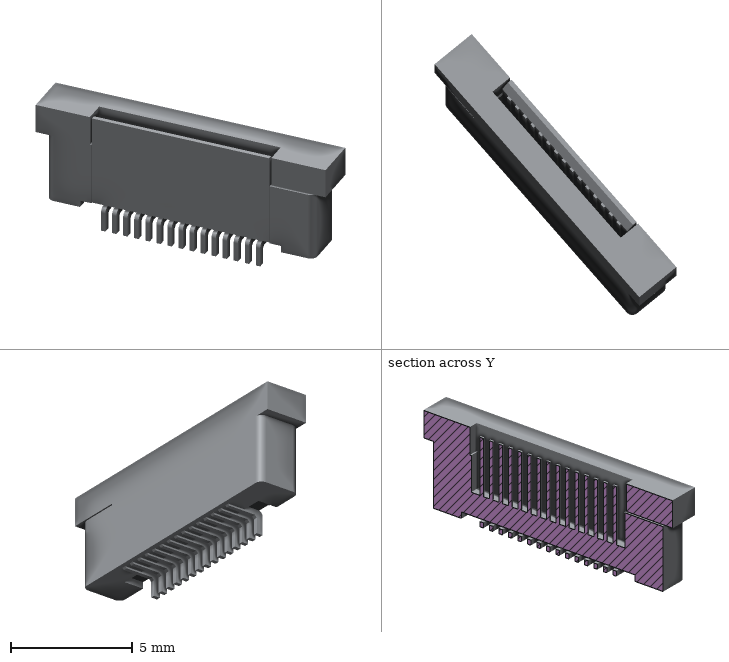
import cadquery as cq


head_length = 13.1
depth = 2.0
head_height = 1.3
head_overhang = 0.5
body_length = head_length - 2 * head_overhang
body_bottom = -4.4
body_corner_radius = 0.3

gap_height = 0.07

slot_length_head = 8.2
slot_length_body = 8.05
slot_depth = 0.94
slot_floor = -3.0

recess_end_margin = 1.5
recess_length = body_length - 2 * recess_end_margin
recess_height = 0.3
recess_ceiling = body_bottom + recess_height

cover_length = 8.0
cover_thickness = 0.5
cover_land = 0.2
cover_chamfer = cover_thickness - cover_land
cover_clearance = 0.04
cover_top = -cover_clearance
cover_bottom = recess_ceiling + cover_clearance

contact_count = 15
contact_span = 7.0
contact_pitch = contact_span / (contact_count - 1)
contact_width = 0.2
contact_top = -0.3
contact_projection = 0.09
lead_bottom = -5.3
lead_thickness = 0.3
lead_arm_back = 1.8
lead_arm_bottom = body_bottom - 0.08
lead_arm_top = body_bottom + 0.18
lead_outer_radius = 0.22
lead_inner_chamfer = 0.1
lead_tail_chamfer = 0.08


def block(x_min, x_max, y_min, y_max, z_min, z_max):
    """Box given by its limits along each axis."""
    size = (x_max - x_min, y_max - y_min, z_max - z_min)
    return cq.Workplane("XY").box(*size, centered=False).translate((x_min, y_min, z_min))


def centered_block(length, y_min, y_max, z_min, z_max):
    """Box centred along the connector."""
    return block(-length / 2, length / 2, y_min, y_max, z_min, z_max)


def make_housing():
    head = centered_block(head_length, 0, depth, -head_height, 0)
    body = centered_block(body_length, 0, depth, body_bottom, -head_height)
    body = body.edges("|Z").fillet(body_corner_radius)
    return head.union(body)


def cut_slot(housing):
    head_part = centered_block(slot_length_head, 0, slot_depth, -head_height, 0)
    body_part = centered_block(slot_length_body, 0, slot_depth, slot_floor, -head_height)
    cover_seat = centered_block(slot_length_body, 0, cover_thickness, recess_ceiling, slot_floor)
    return housing.cut(head_part).cut(body_part).cut(cover_seat)


def cut_recess(housing):
    return housing.cut(centered_block(recess_length, 0, slot_depth, body_bottom, recess_ceiling))


def cut_leg_gap(housing):
    gap = block(
        slot_length_body / 2, head_length / 2, 0, depth,
        -head_height - gap_height, -head_height,
    )
    return housing.cut(gap)


def make_cover():
    cover = centered_block(cover_length, 0, cover_thickness, cover_bottom, cover_top)
    return cover.edges(">Y and >Z").chamfer(cover_chamfer)


def make_contact():
    """Strip inside the slot, standing against the back of the cover."""
    return centered_block(
        contact_width, cover_thickness, cover_thickness + contact_projection, slot_floor, contact_top
    )


def make_lead():
    """Arm leaving the housing at the bottom, bent down into a solder tail."""
    return (
        cq.Workplane("YZ")
        .moveTo(0, lead_bottom)
        .lineTo(lead_thickness, lead_bottom)
        .lineTo(lead_thickness, lead_arm_bottom - lead_inner_chamfer)
        .lineTo(lead_thickness + lead_inner_chamfer, lead_arm_bottom)
        .lineTo(lead_arm_back - lead_tail_chamfer, lead_arm_bottom)
        .lineTo(lead_arm_back, lead_arm_bottom + lead_tail_chamfer)
        .lineTo(lead_arm_back, lead_arm_top)
        .lineTo(lead_outer_radius, lead_arm_top)
        .radiusArc((0, lead_arm_top - lead_outer_radius), -lead_outer_radius)
        .close()
        .extrude(contact_width / 2, both=True)
    )


housing = make_housing()
housing = cut_slot(housing)
housing = cut_recess(housing)
housing = cut_leg_gap(housing)
result = housing.union(make_cover())

for index in range(contact_count):
    x_position = -contact_span / 2 + index * contact_pitch
    for piece in (make_contact(), make_lead()):
        result = result.union(piece.translate((x_position, 0, 0)))